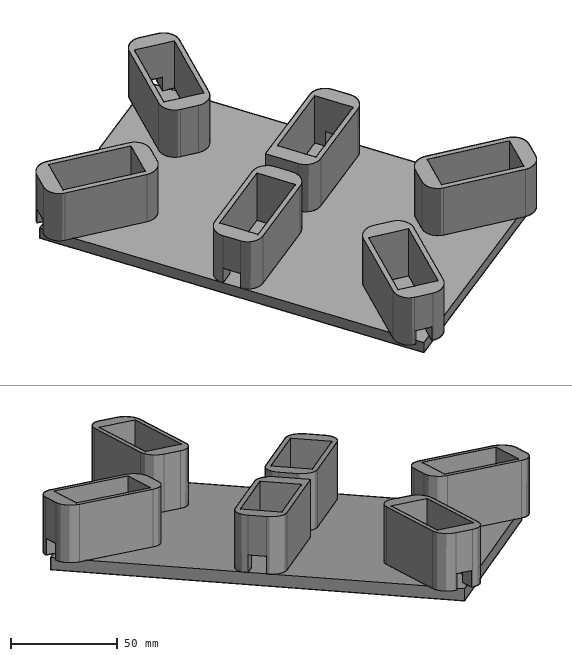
import cadquery as cq

plate_length = 200.0
plate_width = 120.0
plate_thickness = 6.1

total_height = 34.8
holder_height = total_height - plate_thickness
holder_length = 57.0
holder_width = 25.1
corner_radius = 8.0
pocket_length = 41.1
pocket_width = 20.0

end_wall = (holder_length - pocket_length) / 2
corner_slot_width = 8.0
corner_slot_height = 8.2
middle_slot_width = 9.0
middle_slot_height = 8.9

corner_inset = 20.3
corner_x = plate_length / 2 - corner_inset
corner_y = plate_width / 2 - corner_inset
corner_angle = 45
rear_y = 32.0
front_y = -31.7


def make_holder(rounded_edges, slot_width, slot_height):
    """Holder standing on the plate at the origin, long side along X, slot at its +X end."""
    body = (
        cq.Workplane("XY", origin=(0, 0, plate_thickness))
        .rect(holder_length, holder_width)
        .extrude(holder_height)
        .edges(rounded_edges)
        .fillet(corner_radius)
    )
    pocket = (
        cq.Workplane("XY", origin=(0, 0, plate_thickness))
        .rect(pocket_length, pocket_width)
        .extrude(holder_height)
    )
    slot = (
        cq.Workplane("XY", origin=(holder_length / 2 - end_wall / 2, 0, plate_thickness))
        .rect(end_wall, slot_width)
        .extrude(slot_height)
    )
    return body.cut(pocket).cut(slot)


def place(holder, angle, x, y):
    """Turn a holder about Z, then move its centre to (x, y)."""
    return holder.rotate((0, 0, 0), (0, 0, 1), angle).translate((x, y, 0))


result = cq.Workplane("XY").rect(plate_length, plate_width).extrude(plate_thickness)

all_corners = "|Z"
three_corners = "|Z exc (<X and >Y)"

corner_holder = make_holder(all_corners, corner_slot_width, corner_slot_height)
for side_x in (-1, 1):
    for side_y in (-1, 1):
        angle = side_y * (90 - side_x * corner_angle)
        result = result.union(place(corner_holder, angle, side_x * corner_x, side_y * corner_y))

front_holder = make_holder(all_corners, middle_slot_width, middle_slot_height)
result = result.union(place(front_holder, -90, 0, front_y))

rear_holder = make_holder(three_corners, middle_slot_width, middle_slot_height)
result = result.union(place(rear_holder, 90, 0, rear_y))